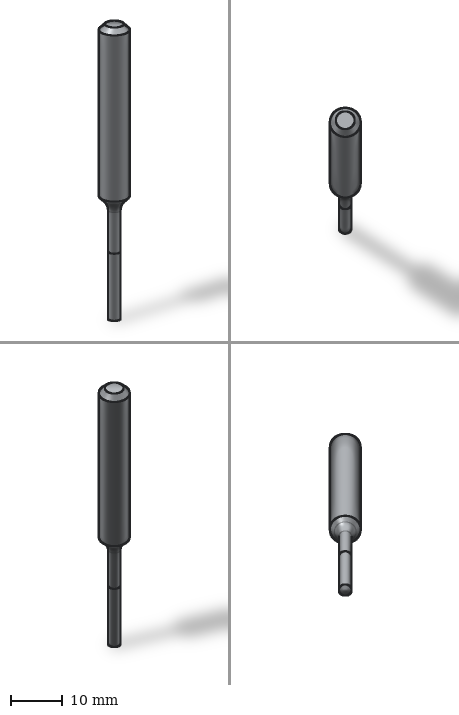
import cadquery as cq
import math

total_length = 62.0
shank_diameter = 6.0
shank_radius = shank_diameter / 2
neck_radius = 1.25
back_chamfer = 1.2
shoulder_z = 26.1
shoulder_angle = 45.0
neck_fillet_radius = 3.0
joint_z = 14.5
point_angle = 140.0

blend_angle = math.radians(shoulder_angle)
blend_center_radius = neck_radius + neck_fillet_radius
blend_top_radius = blend_center_radius - neck_fillet_radius * math.cos(blend_angle)
blend_top_z = shoulder_z - (shank_radius - blend_top_radius) / math.tan(blend_angle)
blend_bottom_z = blend_top_z - neck_fillet_radius * math.sin(blend_angle)
blend_mid_radius = blend_center_radius - neck_fillet_radius * math.cos(blend_angle / 2)
blend_mid_z = blend_bottom_z + neck_fillet_radius * math.sin(blend_angle / 2)

point_height = neck_radius / math.tan(math.radians(point_angle / 2))


def revolve_about_z(profile):
    """Turn a closed half profile, drawn in XZ, about the Z axis."""
    return profile.revolve(360, (0, 0), (0, 1))


def make_holder():
    """Shank with a chamfered back end, a shoulder and a thin neck."""
    profile = (
        cq.Workplane("XZ")
        .moveTo(0, joint_z)
        .lineTo(neck_radius, joint_z)
        .lineTo(neck_radius, blend_bottom_z)
        .threePointArc((blend_mid_radius, blend_mid_z), (blend_top_radius, blend_top_z))
        .lineTo(shank_radius, shoulder_z)
        .lineTo(shank_radius, total_length - back_chamfer)
        .lineTo(shank_radius - back_chamfer, total_length)
        .lineTo(0, total_length)
        .close()
    )
    return revolve_about_z(profile)


def make_drill_tip():
    """Straight cutting end, butted against the neck, with a conical point."""
    profile = (
        cq.Workplane("XZ")
        .moveTo(0, 0)
        .lineTo(neck_radius, point_height)
        .lineTo(neck_radius, joint_z)
        .lineTo(0, joint_z)
        .close()
    )
    return revolve_about_z(profile)


holder = make_holder()
drill_tip = make_drill_tip()

result = cq.Compound.makeCompound([holder.val(), drill_tip.val()])